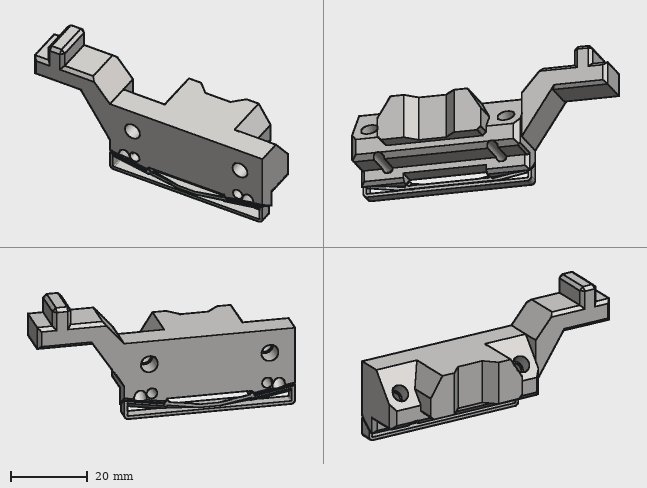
import cadquery as cq
import math

LENGTH = 69.1
BODY_LEFT = 23.15
MID_X = (BODY_LEFT + LENGTH) / 2
BODY_TOP = 21.35
CUT_MARGIN = 3.45

ARM_DEPTH = 12.0
TAB_BOTTOM = 21.7
TAB_TOP = 27.8
PEG_LEFT = 4.1
PEG_RIGHT = 9.0
PEG_TOP = 32.8
ARM_TOP_END = 17.55
ARM_BOTTOM_END = 14.9
ARM_ROOT_BOTTOM = 9.3
ARM_CHAMFER = 1.0

WING_DEPTH = 14.8
WING_BOTTOM = 6.5
WING_CHAMFER = 1.45
WING_END_CHAMFER = 0.6
SLOPE_START = 7.05
SLOPE_ANGLE = 50.0
LIP_DEPTH = 5.8
LIP_BOTTOM = 2.5
LIP_CHAMFER = 1.05
NOTCH_TOP = 4.8
NOTCH_LEFT = 34.8

REAR_DEPTH = 19.6
REAR_WIDTH = 28.2
REAR_TOP_WIDTH = 21.0
REAR_BOTTOM = 9.6
REAR_TAPER_START = 15.7
REAR_CHAMFER = 1.0
VEE_WIDTH = 13.7
VEE_DEPTH = 3.1

INSERT_SPACING = 32.4
INSERT_HEIGHT = 14.9
INSERT_DIAMETER = 4.5
INSERT_DEPTH = 5.5
TIP_DIAMETER = 3.5
TIP_ANGLE = 118.0
PIN_SPACING = 31.0
PIN_HEIGHT = 6.6
PIN_DIAMETER = 2.8
SCREW_SPACING = 37.25
SCREW_FRONT_HEIGHT = 5.5
SCREW_DIAMETER = 3.4
HEAD_DIAMETER = 4.5
HEAD_DEPTH = 4.0

FRAME_DEPTH = 3.5
FRAME_WALL = 0.9
FRAME_FILLET = 1.2
STRIP_DEPTH = 2.4
STRIP_THICKNESS = 1.0
STRIP_FALL = 0.17
STRIP_TILT = 0.7
FLAT_TOP = 2.35
FLAT_BOTTOM = 1.45
FLAT_LEFT = 43.75
END_DROP = 0.3
RIDGE_LEFT = 34.1
RIDGE_X = 34.75
RIDGE_RIGHT = 35.8
RIDGE_PEAK = 4.4
RIDGE_FOOT = 3.3
BEVEL_DEPTH = 0.17
BEVEL_RISE = 1.7
CLEARANCE_HEIGHT = 6.0
CLEARANCE_TILT = 0.75
CLEARANCE_END = 34.15


def mirrored(shape):
    """The same shape reflected about the body's middle plane."""
    return shape.mirror("YZ", (MID_X, 0, 0))


def front_prism(points, depth, start=0.0):
    """An XZ outline extruded toward +Y from Y = start."""
    return cq.Workplane("XZ", origin=(0, start, 0)).polyline(points).close().extrude(-depth)


def side_prism(points, left, right):
    """A YZ outline extruded along X."""
    return cq.Workplane("YZ", origin=(left, 0, 0)).polyline(points).close().extrude(right - left)


def tilted_prism(points, start, end, tilt):
    """An XZ outline swept from Y = start to Y = end that falls by `tilt` per unit of Y."""
    near = [cq.Vector(x, start, z - tilt * start) for x, z in points]
    far = [cq.Vector(x, end, z - tilt * end) for x, z in points]
    wires = [cq.Wire.makePolygon(corners, close=True) for corners in (near, far)]
    return cq.Workplane(cq.Solid.makeLoft(wires, True))


def box(left, right, front, back, bottom, top):
    size = (right - left, back - front, top - bottom)
    return cq.Workplane().box(*size, centered=False).translate((left, front, bottom))


def make_arm():
    """Arm rising from the body's left end to a level tab with a peg, with chamfered rims."""
    outline = [
        (0, TAB_BOTTOM),
        (ARM_BOTTOM_END, TAB_BOTTOM),
        (BODY_LEFT, ARM_ROOT_BOTTOM),
        (BODY_LEFT, BODY_TOP),
        (ARM_TOP_END, TAB_TOP),
        (PEG_RIGHT, TAB_TOP),
        (PEG_RIGHT, PEG_TOP),
        (PEG_LEFT, PEG_TOP),
        (PEG_LEFT, TAB_TOP),
        (0, TAB_TOP),
    ]
    arm = front_prism(outline, ARM_DEPTH)
    rims = arm.faces("<Y or >Y").edges("|X or |Z").edges(
        cq.selectors.BoxSelector(
            (-0.7, -0.7, TAB_BOTTOM - 0.7), (ARM_TOP_END, ARM_DEPTH + 0.7, PEG_TOP + 0.7)
        )
    )
    peg_top = arm.faces(">Z").edges("|Y")
    return arm.newObject(rims.vals() + peg_top.vals()).chamfer(ARM_CHAMFER)


def make_core():
    """Plate with sloped wings at the back and a lip along the lower front."""
    slope_drop = math.tan(math.radians(SLOPE_ANGLE)) * (WING_DEPTH - SLOPE_START)
    wing_outline = [
        (0, WING_BOTTOM),
        (WING_DEPTH - WING_CHAMFER, WING_BOTTOM),
        (WING_DEPTH, WING_BOTTOM + WING_CHAMFER),
        (WING_DEPTH, BODY_TOP - slope_drop),
        (SLOPE_START, BODY_TOP),
        (0, BODY_TOP),
    ]
    wings = side_prism(wing_outline, BODY_LEFT, LENGTH)
    wings = wings.faces(">Y").edges("|Z").chamfer(WING_CHAMFER)
    wings = wings.faces("<Z").edges("|Y").chamfer(WING_END_CHAMFER)
    lip_outline = [
        (0, LIP_BOTTOM),
        (LIP_DEPTH - LIP_CHAMFER, LIP_BOTTOM),
        (LIP_DEPTH, LIP_BOTTOM + LIP_CHAMFER),
        (LIP_DEPTH, WING_BOTTOM + WING_END_CHAMFER),
        (0, WING_BOTTOM + WING_END_CHAMFER),
    ]
    lip = side_prism(lip_outline, BODY_LEFT, LENGTH)
    lip = lip.faces(">Y").edges("|Z").chamfer(LIP_CHAMFER)
    return wings.union(lip)


def make_rear_block():
    """Block behind the plate, narrowing toward its top, with a notch down its back."""
    half = REAR_WIDTH / 2
    half_top = REAR_TOP_WIDTH / 2
    right_side = [
        (half - REAR_CHAMFER, REAR_BOTTOM),
        (half, REAR_BOTTOM + REAR_CHAMFER),
        (half, REAR_TAPER_START),
        (half_top, BODY_TOP),
    ]
    left_side = [(-x, z) for x, z in reversed(right_side)]
    outline = [(MID_X + x, z) for x, z in right_side + left_side]
    block = front_prism(outline, REAR_DEPTH - SLOPE_START, SLOPE_START)
    half_vee = VEE_WIDTH / 2
    vee = [
        (MID_X - half_vee, REAR_DEPTH),
        (MID_X - half_vee + VEE_DEPTH, REAR_DEPTH - VEE_DEPTH),
        (MID_X + half_vee - VEE_DEPTH, REAR_DEPTH - VEE_DEPTH),
        (MID_X + half_vee, REAR_DEPTH),
    ]
    return block.cut(cq.Workplane("XY").polyline(vee).close().extrude(LENGTH))


def insert_hole(x):
    """Blind hole with a smaller conical tip."""
    tip_radius = TIP_DIAMETER / 2
    tip_depth = tip_radius / math.tan(math.radians(TIP_ANGLE / 2))
    start = cq.Vector(x, 0, INSERT_HEIGHT)
    inward = cq.Vector(0, 1, 0)
    bore = cq.Solid.makeCylinder(INSERT_DIAMETER / 2, INSERT_DEPTH, start, inward)
    tip = cq.Solid.makeCone(tip_radius, 0, tip_depth, start + inward * INSERT_DEPTH, inward)
    return cq.Workplane(bore).union(cq.Workplane(tip))


def pin_hole(x):
    start = cq.Vector(x, 0, PIN_HEIGHT)
    return cq.Solid.makeCylinder(PIN_DIAMETER / 2, REAR_DEPTH, start, cq.Vector(0, 1, 0))


def screw_hole(x):
    """Counterbored hole square to the wing's sloped back, leaving through the front."""
    angle = math.radians(SLOPE_ANGLE)
    outward = cq.Vector(0, math.sin(angle), math.cos(angle))
    front = cq.Vector(x, 0, SCREW_FRONT_HEIGHT)
    rise = BODY_TOP - SCREW_FRONT_HEIGHT
    slope_distance = SLOPE_START * math.sin(angle) + rise * math.cos(angle)
    seat = front + outward * (slope_distance - HEAD_DEPTH)
    start = front - outward * CUT_MARGIN
    shank_length = slope_distance + CUT_MARGIN
    shank = cq.Solid.makeCylinder(SCREW_DIAMETER / 2, shank_length, start, outward)
    head = cq.Solid.makeCylinder(HEAD_DIAMETER / 2, HEAD_DEPTH + CUT_MARGIN, seat, outward)
    return cq.Workplane(shank).union(cq.Workplane(head))


def clearance_line(x):
    """Height, at the front face, of the clearance's sloping roof over the left half."""
    return CLEARANCE_HEIGHT - STRIP_FALL * (x - BODY_LEFT)


def make_clearance():
    """Space below the left leg of the lip, where the frame's strip can flex."""
    left = BODY_LEFT - CUT_MARGIN
    floor = -LENGTH
    roof = [
        (left, floor),
        (left, clearance_line(left)),
        (CLEARANCE_END, clearance_line(CLEARANCE_END)),
        (NOTCH_LEFT, NOTCH_TOP),
        (NOTCH_LEFT, floor),
    ]
    return tilted_prism(roof, -CUT_MARGIN, LIP_DEPTH + CUT_MARGIN, CLEARANCE_TILT)


def make_bracket():
    """Arm, plate and rear block in one piece, cut for the frame and drilled."""
    bracket = make_core().union(make_rear_block()).union(make_arm())
    notch_right = 2 * MID_X - NOTCH_LEFT
    bracket = bracket.cut(box(NOTCH_LEFT, notch_right, 0, LIP_DEPTH, 0, NOTCH_TOP))
    clearance = make_clearance()
    bracket = bracket.cut(clearance).cut(mirrored(clearance))
    for side in (-1, 1):
        bracket = bracket.cut(insert_hole(MID_X + side * INSERT_SPACING / 2))
        bracket = bracket.cut(pin_hole(MID_X + side * PIN_SPACING / 2))
        bracket = bracket.cut(screw_hole(MID_X + side * SCREW_SPACING / 2))
    return bracket


def strip_line(x):
    """Height, at the front face, of the top of the strip's left inner arm."""
    return FLAT_TOP + STRIP_FALL * (FLAT_LEFT - x)


def end_line(x):
    """Height, at the front face, of the top of the strip's left end before bevelling."""
    return strip_line(x) - END_DROP


def make_shell():
    """Floor and end walls, rounded below and open above."""
    outer = box(BODY_LEFT, LENGTH, 0, FRAME_DEPTH, 0, CLEARANCE_HEIGHT)
    outer = outer.edges("|Y and <Z").fillet(FRAME_FILLET)
    inner_left = BODY_LEFT + FRAME_WALL
    inner_right = LENGTH - FRAME_WALL
    inner = box(inner_left, inner_right, 0, FRAME_DEPTH, FRAME_WALL, LENGTH)
    inner = inner.edges("|Y and <Z").fillet(FRAME_FILLET - FRAME_WALL)
    return outer.cut(inner)


def strip_piece(top_points):
    """Part of the strip below a sloping top edge, kept above the level of the flat's underside."""
    bottom_points = [(x, z - STRIP_THICKNESS) for x, z in reversed(top_points)]
    piece = tilted_prism(top_points + bottom_points, 0, STRIP_DEPTH, STRIP_TILT)
    return piece.intersect(box(BODY_LEFT, LENGTH, 0, STRIP_DEPTH, FLAT_BOTTOM, LENGTH))


def make_flat():
    """Level middle of the strip, widening toward the back up to the ridges."""
    back_left = FLAT_LEFT - STRIP_DEPTH * STRIP_TILT / STRIP_FALL
    outline = [
        (FLAT_LEFT, 0),
        (back_left, STRIP_DEPTH),
        (2 * MID_X - back_left, STRIP_DEPTH),
        (2 * MID_X - FLAT_LEFT, 0),
    ]
    flat = cq.Workplane("XY", origin=(0, 0, FLAT_BOTTOM)).polyline(outline).close()
    flat = flat.extrude(FLAT_TOP - FLAT_BOTTOM)
    right_ridge_x = 2 * MID_X - RIDGE_X
    return flat.intersect(box(RIDGE_X, right_ridge_x, 0, STRIP_DEPTH, 0, LENGTH))


def make_ridge():
    """Small ridge across the strip between its left end and inner arm."""
    outline = [
        (RIDGE_LEFT, end_line(RIDGE_LEFT)),
        (RIDGE_X, RIDGE_PEAK),
        (RIDGE_RIGHT, RIDGE_FOOT),
    ]
    ridge = tilted_prism(outline, 0, STRIP_DEPTH, STRIP_TILT)
    return ridge.intersect(box(BODY_LEFT, LENGTH, 0, STRIP_DEPTH, FLAT_BOTTOM, LENGTH))


def above_end(offset, rise, end, right):
    """Space above the line `offset` below the left end's top, rising by `rise` per unit of Y."""
    left = BODY_LEFT - CUT_MARGIN
    outline = [
        (left, end_line(left) - offset),
        (right, end_line(right) - offset),
        (right, LENGTH),
        (left, LENGTH),
    ]
    return tilted_prism(outline, 0, end, -rise)


def make_frame():
    """Shell closed above by the bent strip, whose ends are bevelled along the front."""
    end = strip_piece([(BODY_LEFT, end_line(BODY_LEFT)), (RIDGE_X, end_line(RIDGE_X))])
    arm = strip_piece([(RIDGE_X, strip_line(RIDGE_X)), (FLAT_LEFT, FLAT_TOP)])
    half = end.union(arm)
    frame = make_shell().union(make_flat()).union(half).union(mirrored(half))
    wall_right = BODY_LEFT + FRAME_WALL
    wall_trim = above_end(0, -STRIP_TILT, FRAME_DEPTH, wall_right)
    bevel_offset = BEVEL_DEPTH * (BEVEL_RISE + STRIP_TILT)
    bevel = above_end(bevel_offset, BEVEL_RISE, BEVEL_DEPTH, RIDGE_LEFT)
    for trim in (wall_trim, bevel):
        frame = frame.cut(trim).cut(mirrored(trim))
    ridge = make_ridge()
    return frame.union(ridge).union(mirrored(ridge))


bracket = make_bracket()
frame = make_frame()
result = cq.Compound.makeCompound([bracket.val(), frame.val()])